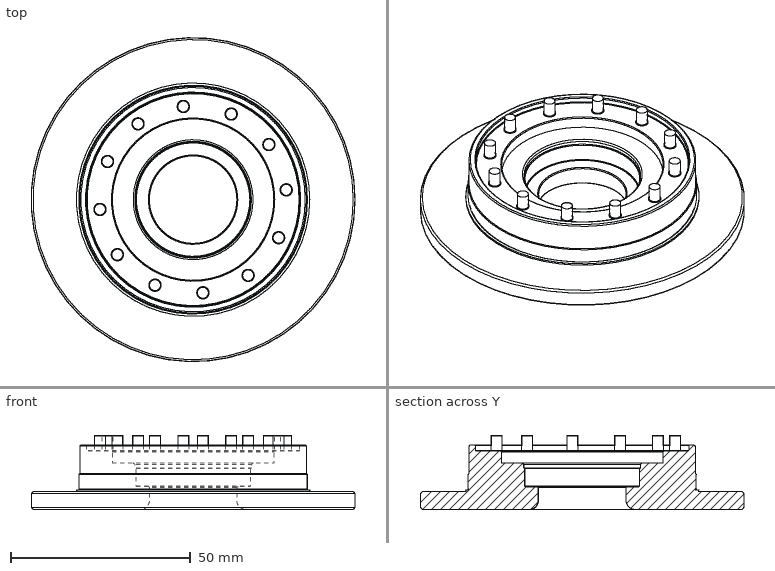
import cadquery as cq
import math

flange_radius = 45.0
flange_height = 5.0
flange_chamfer = 0.5

collar_radius = 32.4
collar_top = 5.5

band_radius = 31.8
band_top = 10.0
band_chamfer_height = 0.2
hub_radius = 31.5
hub_top = 18.0
hub_chamfer = 0.4

edge_chamfer = 0.3
corner_chamfer = 0.2

rim_radius = 29.6
pin_floor = 16.3
recess_radius = 22.4
recess_floor = 13.0
seat_mouth_radius = 16.2
seat_mouth_chamfer = 0.45
seat_step = 11.6
seat_radius = 15.9
seat_floor = 6.4
bore_radius = 12.15
bore_flare = 2.5

pin_count = 12
pin_circle_radius = 26.0
pin_start_angle = 6.0
pin_radius = 1.5
pin_top = 20.5
pin_foot_radius = 1.7
pin_foot_height = 0.2


def make_body():
    """Revolve the half section (radius, height) about the Z axis."""
    flare_radius = bore_radius + bore_flare
    flare_mid = bore_flare * (1 - math.cos(math.radians(45)))
    profile = (
        cq.Workplane("XZ")
        .moveTo(flare_radius, 0)
        .lineTo(flange_radius - flange_chamfer, 0)
        .lineTo(flange_radius, flange_chamfer)
        .lineTo(flange_radius, flange_height - flange_chamfer)
        .lineTo(flange_radius - flange_chamfer, flange_height)
        .lineTo(collar_radius, flange_height)
        .lineTo(collar_radius, collar_top)
        .lineTo(hub_radius, collar_top)
        .lineTo(band_radius, collar_top + band_chamfer_height)
        .lineTo(band_radius, band_top - band_chamfer_height)
        .lineTo(hub_radius, band_top)
        .lineTo(hub_radius, hub_top - hub_chamfer)
        .lineTo(hub_radius - hub_chamfer, hub_top)
        .lineTo(rim_radius + edge_chamfer, hub_top)
        .lineTo(rim_radius, hub_top - edge_chamfer)
        .lineTo(rim_radius, pin_floor + corner_chamfer)
        .lineTo(rim_radius - corner_chamfer, pin_floor)
        .lineTo(recess_radius + edge_chamfer, pin_floor)
        .lineTo(recess_radius, pin_floor - edge_chamfer)
        .lineTo(recess_radius, recess_floor)
        .lineTo(seat_mouth_radius + seat_mouth_chamfer, recess_floor)
        .lineTo(seat_mouth_radius, recess_floor - seat_mouth_chamfer)
        .lineTo(seat_mouth_radius, seat_step)
        .lineTo(seat_radius, seat_step - corner_chamfer)
        .lineTo(seat_radius, seat_floor + corner_chamfer)
        .lineTo(seat_radius - corner_chamfer, seat_floor)
        .lineTo(bore_radius + edge_chamfer, seat_floor)
        .lineTo(bore_radius, seat_floor - edge_chamfer)
        .lineTo(bore_radius, bore_flare)
        .threePointArc((bore_radius + flare_mid, flare_mid), (flare_radius, 0))
        .close()
    )
    return profile.revolve(360, (0, 0, 0), (0, 1, 0))


def make_pins():
    """Ring of round pins, each with a low foot on the pin floor."""

    def ring(radius, bottom, top):
        return (
            cq.Workplane("XY")
            .workplane(offset=bottom)
            .polarArray(pin_circle_radius, pin_start_angle, 360, pin_count)
            .circle(radius)
            .extrude(top - bottom)
        )

    feet = ring(pin_foot_radius, recess_floor, pin_floor + pin_foot_height)
    shafts = ring(pin_radius, recess_floor, pin_top)
    return feet.union(shafts)


result = make_body().union(make_pins())